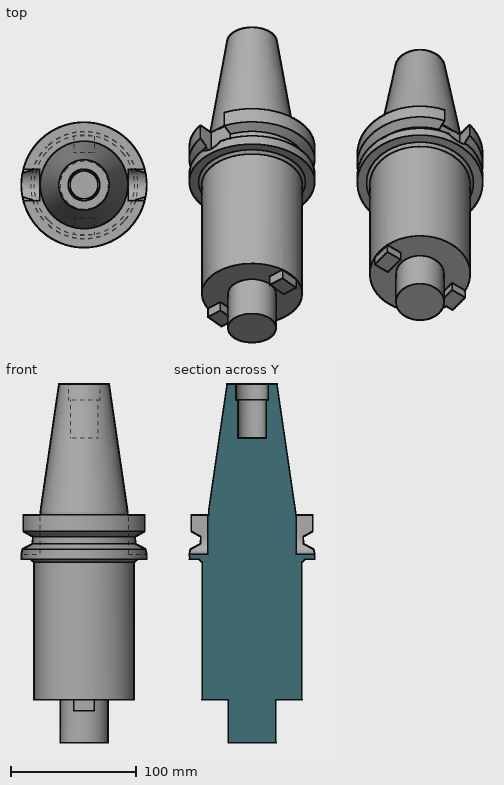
import cadquery as cq
import math

total_length = 285.8
taper_length = 101.7
collar_length = 2.5
body_bottom_z = 34.3
flange_top_z = total_length - taper_length - collar_length

taper_gauge_radius = 35.0
taper_slope = 7 / 24 / 2
taper_tip_radius = taper_gauge_radius - taper_length * taper_slope
flange_radius = 50.0
groove_radius = 43.0
flange_foot_radius = 42.5
body_radius = 40.0
arbor_radius = 19.1

upper_rim_depth = 13.1
lower_rim_top_depth = 27.2
groove_flank_angle = 30
groove_flank_height = (flange_radius - groove_radius) * math.tan(math.radians(groove_flank_angle))
groove_top_depth = upper_rim_depth + groove_flank_height
groove_bottom_depth = lower_rim_top_depth - groove_flank_height
lower_rim_bottom_depth = 35.5
flange_foot_depth = 37.7

slot_width = 25.2
slot_depth = 31.2
slot_floor_distance = 35.5

key_width = 16.5
key_height = 8.5
key_inner_distance = 26.0
key_outer_distance = 39.2

counterbore_radius = 12.5
counterbore_depth = 12.5
bore_radius = 11.1
bore_depth = 43.0


def turned_body():
    """Revolve the half outline of arbor, body, grooved flange and taper."""
    outline = [
        (0, 0),
        (arbor_radius, 0),
        (arbor_radius, body_bottom_z),
        (body_radius, body_bottom_z),
        (body_radius, flange_top_z - flange_foot_depth),
        (flange_foot_radius, flange_top_z - lower_rim_bottom_depth),
        (flange_radius, flange_top_z - lower_rim_bottom_depth),
        (flange_radius, flange_top_z - lower_rim_top_depth),
        (groove_radius, flange_top_z - groove_bottom_depth),
        (groove_radius, flange_top_z - groove_top_depth),
        (flange_radius, flange_top_z - upper_rim_depth),
        (flange_radius, flange_top_z),
        (taper_gauge_radius, flange_top_z),
        (taper_gauge_radius, flange_top_z + collar_length),
        (taper_tip_radius, total_length),
        (0, total_length),
    ]
    return cq.Workplane("XZ").polyline(outline).close().revolve(360, (0, 0), (0, 1))


def drive_slot(side):
    """Cutter for one slot; side is -1 for -X and +1 for +X."""
    half_width = slot_width / 2
    arc_center_z = flange_top_z - slot_depth + half_width
    return (
        cq.Workplane("YZ", origin=(side * slot_floor_distance, 0, 0))
        .moveTo(-half_width, flange_top_z)
        .lineTo(-half_width, arc_center_z)
        .threePointArc((0, flange_top_z - slot_depth), (half_width, arc_center_z))
        .lineTo(half_width, flange_top_z)
        .close()
        .extrude(side * flange_radius)
    )


def drive_key(side):
    """One rectangular key; side is -1 for -Y and +1 for +Y."""
    key_length = key_outer_distance - key_inner_distance
    key_center = (key_outer_distance + key_inner_distance) / 2
    return (
        cq.Workplane("XY", origin=(0, side * key_center, body_bottom_z))
        .rect(key_width, key_length)
        .extrude(-key_height)
    )


def bore(radius, depth):
    """Cutter for a blind round hole down from the taper's small end."""
    return cq.Workplane("XY", origin=(0, 0, total_length)).circle(radius).extrude(-depth)


result = turned_body()
for side in (-1, 1):
    result = result.cut(drive_slot(side))
    result = result.union(drive_key(side))
result = result.cut(bore(counterbore_radius, counterbore_depth))
result = result.cut(bore(bore_radius, bore_depth))